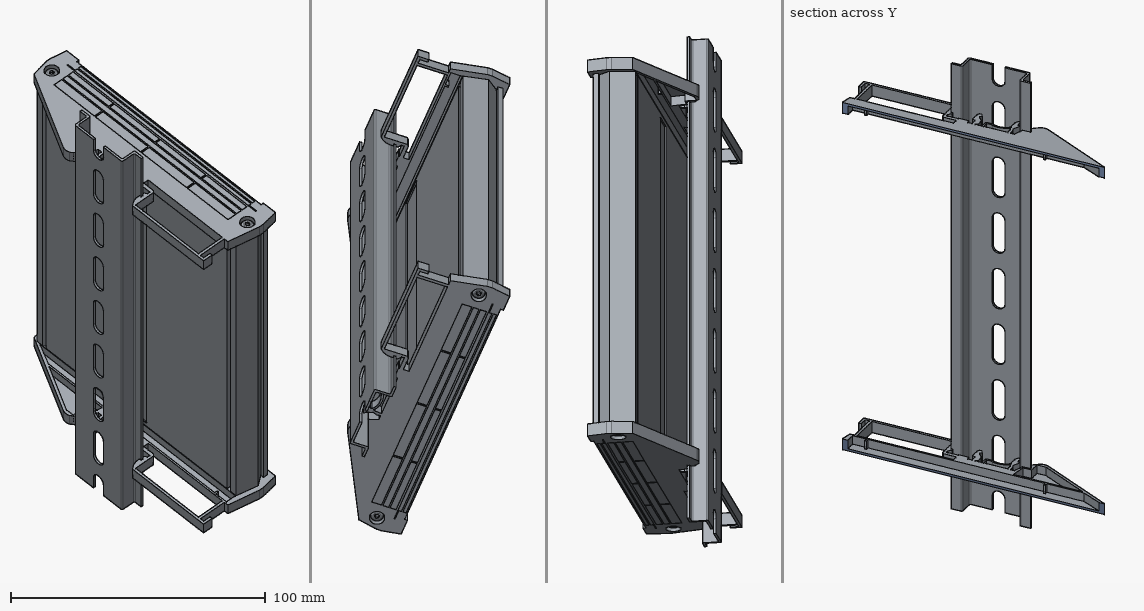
import cadquery as cq

RAIL_LENGTH = 200.0
RAIL_WIDTH = 35.0
RAIL_CHANNEL_WIDTH = 27.2
RAIL_BACK_Y = -19.5
RAIL_HEIGHT = 7.5
RAIL_THICKNESS = 1.0
RAIL_BEND_RADIUS = 0.5
SLOT_LENGTH = 18.0
SLOT_WIDTH = 5.5
SLOT_PITCH = 25.0
SLOT_COUNT = 9
FLANGE_TOP_Y = RAIL_BACK_Y + RAIL_HEIGHT
FLANGE_BOTTOM_Y = FLANGE_TOP_Y - RAIL_THICKNESS

TRAY_LENGTH = 146.2
TRAY_BACK_Y = 1.0
TRAY_WIDEST_Y = 11.0
TRAY_TOP_Y = 15.5
TRAY_BACK_HALF = 57.0
TRAY_WIDEST_HALF = 59.0
TRAY_TOP_HALF = 55.5
GROOVE_OUTER_HALF = 53.8
GROOVE_INNER_HALF = 51.8
GROOVE_DEPTH = 2.0
TRAY_RECESS_WIDTH = 11.2
TRAY_RECESS_LENGTH = 142.8
TRAY_RECESS_DEPTH = 0.5

COVER_HALF = 57.2
COVER_THICKNESS = 2.2

CAP_THICKNESS = 5.0
CAP_FLOOR = 1.2
CAP_WALL = 0.8
STUB_WIDTH = 0.8
STUB_HEIGHT = 1.5
STUB_X = (-28.8, 50.0)
CAP_TOP_Y = 19.5
CAP_SHELF_Y = 18.5
CAP_SHELF_HALF = 52.8
CAP_TOP_HALF = 59.8
CAP_WIDEST_HALF = 61.1
CAP_WIDEST_TOP_Y = 11.8
CAP_WIDEST_BOTTOM_Y = 9.8
CAP_LEFT_CORNER = (-59.5, 1.5)
CAP_RIGHT_CORNER_X = 58.5
CAP_BACK_Y = -4.8
FOOT_STEP_X = 12.8
FOOT_BACK_Y = -7.8
TIP_Y = -17.0
HOLLOW_TOP_Y = 0.8
FOOT_PAD_X = 8.2
FOOT_PAD_Y = -9.2
FOOT_GRIP_X = -16.5
FOOT_GRIP_Y = -14.8

ARM_TOP_Y = -7.2
ARM_BACK_Y = -8.8
ARM_CORNER = 0.8
HOOK_INNER_X = 18.0
HOOK_OUTER_X = 19.2
BARB_X = 16.5
BAR_BACK_Y = -18.8
BAR_THICKNESS = 1.2
BAR_END_X = 59.5
BAR_LIP_Y = -14.2
POST_X = 55.2

STRIP_THICKNESS = 0.8
STRIP_END_X = 1.8

PANEL_HALF = 49.8
SCORE_WIDTH = 0.5
SCORE_DEPTH = 0.1
LOWER_PANEL_Y = (3.5, 13.5)
UPPER_PANEL_Y = (14.8, 17.8)
LOWER_SCORES_Y = (7.8, 10.8)
UPPER_SCORE_Y = 16.2
CROSS_SCORE_PITCH = 26.5
SPLIT_LINE_HALF = 54.0
SPLIT_LINE_WIDTH = 0.5

SCREW_X = 56.0
SCREW_Y = 8.0
COUNTERBORE_DIAMETER = 6.0
COUNTERBORE_DEPTH = 3.0
HEAD_DIAMETER = 5.2
HEAD_HEIGHT = 2.0
HEAD_ROUNDING = 1.0
SOCKET_DIAMETER = 2.0
SOCKET_DEPTH = 1.0
SHANK_DIAMETER = 2.8
SHANK_LENGTH = 10.0

CAP_INNER_Z = TRAY_LENGTH / 2
CAP_OUTER_Z = CAP_INNER_Z + CAP_THICKNESS
HEAD_SEAT_Z = CAP_OUTER_Z - COUNTERBORE_DEPTH
SHANK_END_Z = HEAD_SEAT_Z - SHANK_LENGTH


def prism(points, z_start, z_end):
    """A straight prism over a polygon in X and Y."""
    return cq.Workplane("XY", origin=(0, 0, z_start)).polyline(points).close().extrude(z_end - z_start)


def block(x_start, x_end, y_start, y_end, z_start, z_end):
    """A box given by its limits on each axis."""
    corners = [(x_start, y_start), (x_end, y_start), (x_end, y_end), (x_start, y_end)]
    return prism(corners, z_start, z_end)


def rod(x, y, diameter, z_start, z_end):
    """A round rod along Z."""
    return cq.Workplane("XY", origin=(x, y, z_start)).circle(diameter / 2).extrude(z_end - z_start)


def mirrored_outline(right_half):
    """A closed outline symmetric in X, from its right half."""
    return right_half + [(-x, y) for x, y in reversed(right_half)]


def edge_along_z(x, y):
    """A selector for the edge that runs along Z through the given X and Y."""
    reach = 0.2
    return cq.selectors.BoxSelector((x - reach, y - reach, -reach), (x + reach, y + reach, reach))


def make_rail():
    """The top-hat rail with its row of slots."""
    outer = RAIL_CHANNEL_WIDTH / 2
    inner = outer - RAIL_THICKNESS
    profile = mirrored_outline([
        (outer, RAIL_BACK_Y),
        (outer, FLANGE_BOTTOM_Y),
        (RAIL_WIDTH / 2, FLANGE_BOTTOM_Y),
        (RAIL_WIDTH / 2, FLANGE_TOP_Y),
        (inner, FLANGE_TOP_Y),
        (inner, RAIL_BACK_Y + RAIL_THICKNESS),
    ])
    rail = prism(profile, -RAIL_LENGTH / 2, RAIL_LENGTH / 2)

    bends = [
        (outer, RAIL_BACK_Y),
        (outer, FLANGE_BOTTOM_Y),
        (inner, FLANGE_TOP_Y),
        (inner, RAIL_BACK_Y + RAIL_THICKNESS),
    ]
    for x, y in bends:
        for side in (-1, 1):
            rail = rail.edges(edge_along_z(side * x, y)).fillet(RAIL_BEND_RADIUS)

    first_slot_z = -SLOT_PITCH * (SLOT_COUNT - 1) / 2
    slot_places = [(0, first_slot_z + index * SLOT_PITCH) for index in range(SLOT_COUNT)]
    slots = (
        cq.Workplane("XZ", origin=(0, RAIL_BACK_Y + RAIL_HEIGHT, 0))
        .pushPoints(slot_places)
        .slot2D(SLOT_LENGTH, SLOT_WIDTH, 90)
        .extrude(RAIL_HEIGHT)
    )
    return rail.cut(slots)


def make_tray():
    """The tray profile, with a slanted groove near each side and a long shallow recess in its back."""
    profile = mirrored_outline([
        (GROOVE_INNER_HALF, TRAY_BACK_Y),
        (GROOVE_INNER_HALF, TRAY_BACK_Y + GROOVE_DEPTH),
        (GROOVE_OUTER_HALF, TRAY_BACK_Y),
        (TRAY_BACK_HALF, TRAY_BACK_Y),
        (TRAY_WIDEST_HALF, TRAY_WIDEST_Y),
        (TRAY_TOP_HALF, TRAY_TOP_Y),
    ])
    tray = prism(profile, -CAP_INNER_Z, CAP_INNER_Z)
    half_width = TRAY_RECESS_WIDTH / 2
    half_length = TRAY_RECESS_LENGTH / 2
    recess_floor_y = TRAY_BACK_Y + TRAY_RECESS_DEPTH
    tray = tray.cut(block(-half_width, half_width, TRAY_BACK_Y, recess_floor_y, -half_length, half_length))
    for x in (-SCREW_X, SCREW_X):
        tray = tray.cut(rod(x, SCREW_Y, SHANK_DIAMETER, SHANK_END_Z, CAP_INNER_Z))
        tray = tray.cut(rod(x, SCREW_Y, SHANK_DIAMETER, -CAP_INNER_Z, -SHANK_END_Z))
    return tray


def make_cover():
    """The flat cover on top of the tray."""
    cover_top_y = TRAY_TOP_Y + COVER_THICKNESS
    return block(-COVER_HALF, COVER_HALF, TRAY_TOP_Y, cover_top_y, -CAP_INNER_Z, CAP_INNER_Z)


def cap_plate():
    """The cap with its foot, which hooks over the left rail flange."""
    outline = (
        cq.Workplane("XY", origin=(0, 0, CAP_INNER_Z))
        .moveTo(-CAP_TOP_HALF, CAP_TOP_Y)
        .lineTo(-CAP_SHELF_HALF, CAP_TOP_Y)
        .lineTo(-CAP_SHELF_HALF, CAP_SHELF_Y)
        .lineTo(CAP_SHELF_HALF, CAP_SHELF_Y)
        .lineTo(CAP_SHELF_HALF, CAP_TOP_Y)
        .lineTo(CAP_TOP_HALF, CAP_TOP_Y)
        .lineTo(CAP_WIDEST_HALF, CAP_WIDEST_TOP_Y)
        .lineTo(CAP_WIDEST_HALF, CAP_WIDEST_BOTTOM_Y)
        .lineTo(CAP_RIGHT_CORNER_X, CAP_BACK_Y)
        .lineTo(FOOT_STEP_X, CAP_BACK_Y)
        .lineTo(FOOT_STEP_X, FOOT_PAD_Y)
        .lineTo(FOOT_PAD_X, FOOT_PAD_Y)
        .lineTo(FOOT_PAD_X, FOOT_BACK_Y)
        .lineTo(-12.5, FOOT_BACK_Y)
        .lineTo(-14.0, FLANGE_TOP_Y)
        .lineTo(-RAIL_WIDTH / 2, FLANGE_TOP_Y)
        .lineTo(-RAIL_WIDTH / 2, FLANGE_BOTTOM_Y)
        .lineTo(FOOT_GRIP_X, FLANGE_BOTTOM_Y)
        .lineTo(FOOT_GRIP_X, FOOT_GRIP_Y)
        .lineTo(-19.2, TIP_Y)
        .threePointArc((-21.0, -17.5), (-22.8, TIP_Y))
        .lineTo(*CAP_LEFT_CORNER)
        .lineTo(-CAP_WIDEST_HALF, CAP_WIDEST_BOTTOM_Y)
        .lineTo(-CAP_WIDEST_HALF, CAP_WIDEST_TOP_Y)
        .close()
    )
    return outline.extrude(CAP_THICKNESS)


def cap_hollows():
    """Two hollows on the tray side, parted by the back wall and its straight continuation as a rib."""
    z_end = CAP_OUTER_Z - CAP_FLOOR
    wall_y = CAP_BACK_Y + CAP_WALL
    main_corners = [(-55.2, HOLLOW_TOP_Y), (-45.2, wall_y), (56.8, wall_y), (56.8, HOLLOW_TOP_Y)]
    main_hollow = prism(main_corners, CAP_INNER_Z, z_end)
    for x in STUB_X:
        stub = block(x, x + STUB_WIDTH, wall_y, wall_y + STUB_HEIGHT, CAP_INNER_Z, z_end)
        main_hollow = main_hollow.cut(stub)
    foot_hollow = prism(
        [(-44.0, CAP_BACK_Y), (-22.5, -15.8), (-18.5, -15.8), (-18.5, -11.2), (-14.5, -11.2), (-13.5, CAP_BACK_Y)],
        CAP_INNER_Z,
        z_end,
    )
    return main_hollow.union(foot_hollow)


def handle():
    """A thin arm hooking over the right rail flange, with a pull bar and the post that carries it."""
    hook = (
        cq.Workplane("XY", origin=(0, 0, CAP_INNER_Z))
        .moveTo(FOOT_STEP_X, ARM_BACK_Y)
        .lineTo(HOOK_INNER_X, ARM_BACK_Y)
        .lineTo(HOOK_INNER_X, -10.0)
        .lineTo(BARB_X, -11.0)
        .lineTo(BARB_X, FLANGE_TOP_Y)
        .lineTo(RAIL_WIDTH / 2, FLANGE_TOP_Y)
        .lineTo(RAIL_WIDTH / 2, FLANGE_BOTTOM_Y)
        .lineTo(BARB_X, FLANGE_BOTTOM_Y)
        .lineTo(BARB_X, -14.5)
        .threePointArc((17.5, -17.0), (18.8, BAR_BACK_Y))
        .lineTo(BAR_END_X, BAR_BACK_Y)
        .lineTo(BAR_END_X, BAR_LIP_Y)
        .lineTo(BAR_END_X - BAR_THICKNESS, BAR_LIP_Y)
        .lineTo(BAR_END_X - BAR_THICKNESS, BAR_BACK_Y + BAR_THICKNESS)
        .lineTo(HOOK_OUTER_X, BAR_BACK_Y + BAR_THICKNESS)
        .lineTo(HOOK_OUTER_X, ARM_TOP_Y - ARM_CORNER)
        .lineTo(HOOK_OUTER_X - ARM_CORNER, ARM_TOP_Y)
        .lineTo(FOOT_STEP_X, ARM_TOP_Y)
        .close()
        .extrude(CAP_THICKNESS)
    )
    post_end_x = POST_X + BAR_THICKNESS
    return hook.union(block(POST_X, post_end_x, BAR_BACK_Y, CAP_BACK_Y, CAP_INNER_Z, CAP_OUTER_Z))


def spring_latch():
    """Two prongs under the foot and the wavy spring strip between them."""
    left_prong = [
        (-10.8, FOOT_BACK_Y),
        (-10.8, -9.5),
        (-10.2, -11.2),
        (-11.8, -14.5),
        (-10.5, -15.0),
        (-10.5, -16.5),
        (-12.0, -17.2),
        (-12.0, -17.8),
        (-9.5, -17.8),
        (-8.5, -16.0),
        (-8.5, -12.8),
        (-9.5, -10.5),
        (-9.5, FOOT_BACK_Y),
    ]
    right_prong = [
        (4.8, FOOT_BACK_Y),
        (3.5, -8.5),
        (4.0, -11.5),
        (6.0, -14.0),
        (5.2, -14.8),
        (6.0, -16.2),
        (7.2, -16.2),
        (7.5, -15.0),
        (7.5, -11.0),
        (6.2, -10.5),
        (6.2, FOOT_BACK_Y),
    ]
    strip = (
        cq.Workplane("XY", origin=(0, 0, CAP_INNER_Z))
        .moveTo(-9.2, -11.5)
        .threePointArc((-4.8, -9.5), (-1.8, -10.0))
        .threePointArc((-0.5, -10.5), (STRIP_END_X - STRIP_THICKNESS, -10.2))
        .lineTo(STRIP_END_X - STRIP_THICKNESS, FOOT_BACK_Y)
        .lineTo(STRIP_END_X, FOOT_BACK_Y)
        .lineTo(STRIP_END_X, -11.0)
        .threePointArc((-0.5, -11.2), (-2.2, -10.8))
        .threePointArc((-4.8, -10.5), (-9.2, -12.5))
        .close()
        .extrude(CAP_THICKNESS)
    )
    prongs = prism(left_prong, CAP_INNER_Z, CAP_OUTER_Z).union(prism(right_prong, CAP_INNER_Z, CAP_OUTER_Z))
    return prongs.union(strip)


def cap_panel():
    """Shallow recesses split by raised lines on the outer face."""
    z_limits = (CAP_OUTER_Z - SCORE_DEPTH, CAP_OUTER_Z)
    half = SCORE_WIDTH / 2
    recess = block(-PANEL_HALF, PANEL_HALF, *LOWER_PANEL_Y, *z_limits)
    recess = recess.union(block(-PANEL_HALF, PANEL_HALF, *UPPER_PANEL_Y, *z_limits))
    for y in (*LOWER_SCORES_Y, UPPER_SCORE_Y):
        recess = recess.cut(block(-PANEL_HALF, PANEL_HALF, y - half, y + half, *z_limits))
    rows = ((LOWER_PANEL_Y[0], LOWER_SCORES_Y[0]), (LOWER_SCORES_Y[1], LOWER_PANEL_Y[1]))
    for x in (-CROSS_SCORE_PITCH, 0, CROSS_SCORE_PITCH):
        for row in rows:
            recess = recess.cut(block(x - half, x + half, *row, *z_limits))
    split_start_y = UPPER_PANEL_Y[0] - SPLIT_LINE_WIDTH
    split = block(-SPLIT_LINE_HALF, SPLIT_LINE_HALF, split_start_y, UPPER_PANEL_Y[0], *z_limits)
    return recess.union(split)


def make_cap():
    """The cap at the +Z end."""
    cap = cap_plate().cut(cap_hollows()).union(handle()).union(spring_latch()).cut(cap_panel())
    for x in (-SCREW_X, SCREW_X):
        cap = cap.cut(rod(x, SCREW_Y, COUNTERBORE_DIAMETER, HEAD_SEAT_Z, CAP_OUTER_Z))
        cap = cap.cut(rod(x, SCREW_Y, SHANK_DIAMETER, CAP_INNER_Z, CAP_OUTER_Z))
    return cap


def make_screw(x):
    """A button head screw at the +Z end."""
    head_top_z = HEAD_SEAT_Z + HEAD_HEIGHT
    head = rod(x, SCREW_Y, HEAD_DIAMETER, HEAD_SEAT_Z, head_top_z).faces(">Z").edges().fillet(HEAD_ROUNDING)
    socket = (
        cq.Workplane("XY", origin=(x, SCREW_Y, head_top_z)).polygon(6, SOCKET_DIAMETER).extrude(-SOCKET_DEPTH)
    )
    return head.cut(socket).union(rod(x, SCREW_Y, SHANK_DIAMETER, SHANK_END_Z, HEAD_SEAT_Z))


def at_both_ends(body):
    """The body and its mirror image at the other end of the housing."""
    return [body.val(), body.mirror("XY").val()]


rail = make_rail()
tray = make_tray()
cover = make_cover()
caps = at_both_ends(make_cap())
screws = [screw for x in (-SCREW_X, SCREW_X) for screw in at_both_ends(make_screw(x))]

result = cq.Compound.makeCompound([rail.val(), tray.val(), cover.val(), *caps, *screws])